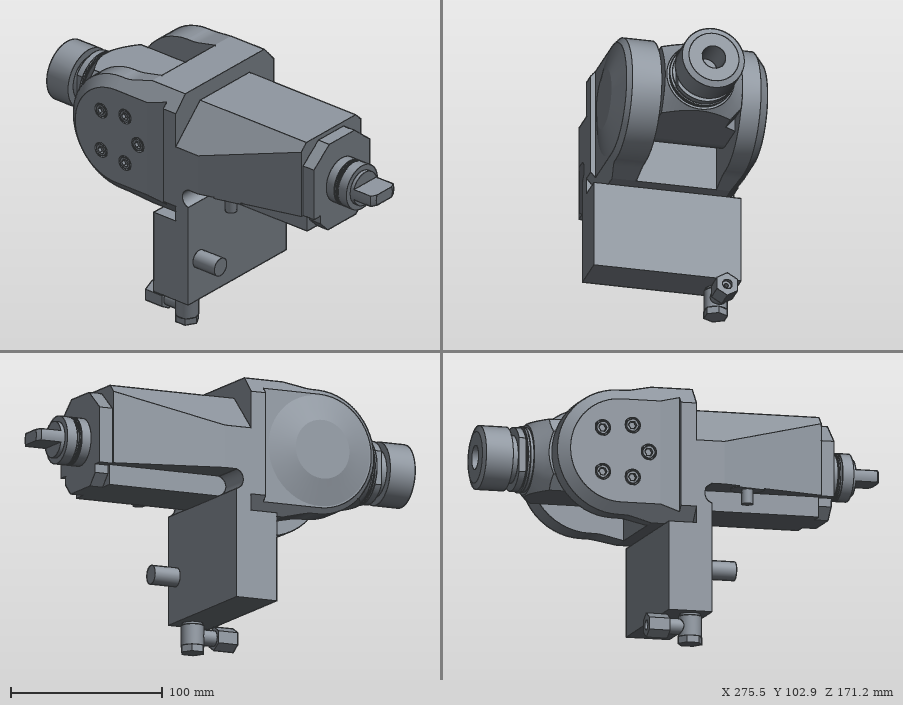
import cadquery as cq
import math


overall_length = 275.5
half_width = 50.5
pivot_x = 85.7

nose_radius = 21.2
nose_face_radius = 17.0
nose_chamfer = 1.7
nose_end = 20.0
neck_radius = 16.0
neck_end = 25.0
wrench_half_flat = 18.0
wrench_end = 29.8
washer_radius = 22.0
washer_start = 30.3
washer_end = 31.7
seat_groove_radius = 20.5
seat_start = 32.2
seat_radius = 21.5
nose_bore_radius = 8.0
nose_bore_depth = 22.0

block_front = 34.2
block_half_height = 24.0
block_y_min = -31.0
block_y_max = 24.0
block_cone_front_radius = 23.1
relief_inner_y = -23.1
relief_drop = 9.6
relief_end = 56.5
relief_runout = 5.0

fork_radius = 42.0
fork_half_height = 45.7
fork_end = 137.8
pocket_end = 109.5
shoulder_start = 88.7
shoulder_blend_end = 97.0
shoulder_blend_rise = 1.0
face_radius = 34.7
chamfer_width = 10.0
ramp_start = 113.0
ramp_end = 127.0
arm_recess = 3.3

dome_base_radius = 37.5
dome_top_radius = 19.8
dome_top_y = 52.4

screw_circle_radius = 19.3
screw_angles = (0, 65, 130, -130, -65)
screw_recess_radius = 5.2
screw_head_radius = 4.0
screw_socket_size = 5.5
screw_recess_depth = 2.8

housing_end = 229.5
housing_top = 34.7
housing_top_half_width = 25.4
housing_side_top = 10.0
housing_side_bottom = -18.7
taper_start = 157.0
housing_end_half_width = 30.5
keel_half_width = 24.5
keel_bottom = -32.2
slot_end_x = 143.5

flange_end = 239.0
flange_half_width = 28.7
flange_top = 31.5
flange_top_half_width = 13.0
flange_side_top = 18.5
flange_foot_half_width = 22.0
flange_foot_chamfer = 7.7

rear_radius = 16.0
rear_groove_radius = 15.2
rear_groove_start = 245.5
rear_groove_end = 248.8
rear_ring_start = 246.4
rear_ring_end = 247.5
rear_end = 256.3
tang_radius = 12.0
tang_start = 259.0
tang_half_thickness = 3.9
tang_tip_radius = 8.3
tang_tip_length = 2.0

slab_front = 118.8
slab_back = 148.5
slab_bottom = -105.3
slab_pin_radius = 6.3
slab_pin_length = 18.5
slab_pin_z = -75.0
pin_y = -39.0
stop_pin_radius = 3.9
stop_pin_x = 176.0
stop_pin_bottom = -29.2
stop_pad_radius = 11.3
stop_pad_thickness = 0.8

fitting_x = 137.0
fitting_y = -37.8
fitting_collar_radius = 7.0
fitting_collar_bottom = -107.0
fitting_radius = 7.7
fitting_hex_top = -120.7
fitting_bottom = -125.5
hex_size = 16.3
hose_z = -114.0
hose_radius = 5.2
nut_front = 107.0
nut_back = 121.3
nut_bore_radius = 3.3
nut_bore_depth = 2.8
hose_bore_radius = 1.5
hose_bore_depth = 11.0


def box(x_range, y_range, z_range):
    """Box between two limits on each axis."""
    size = [high - low for low, high in (x_range, y_range, z_range)]
    corner = (x_range[0], y_range[0], z_range[0])
    return cq.Workplane("XY").box(*size, centered=False).translate(corner)


def rod_x(radius, start, end, y=0.0, z=0.0):
    """Cylinder along X."""
    return cq.Workplane("YZ", origin=(start, y, z)).circle(radius).extrude(end - start)


def rod_z(radius, bottom, top, x, y):
    """Vertical cylinder."""
    return cq.Workplane("XY", origin=(x, y, bottom)).circle(radius).extrude(top - bottom)


def spindle_nose():
    nose = rod_x(nose_radius, nose_chamfer, nose_end)
    rim = (
        cq.Workplane("XY")
        .polyline([(0, 0), (0, nose_face_radius), (nose_chamfer, nose_radius), (nose_chamfer, 0)])
        .close()
        .revolve(360, (0, 0, 0), (1, 0, 0))
    )
    neck = rod_x(neck_radius, nose_end, neck_end)
    wrench_limits = box(
        (neck_end, wrench_end),
        (-wrench_half_flat, wrench_half_flat),
        (-nose_radius, nose_radius),
    )
    wrench = rod_x(nose_radius, neck_end, wrench_end).intersect(wrench_limits)
    groove = rod_x(seat_groove_radius, wrench_end, seat_start)
    washer = rod_x(washer_radius, washer_start, washer_end)
    seat = rod_x(seat_radius, seat_start, block_front)
    bore = rod_x(nose_bore_radius, 0, nose_bore_depth)
    for section in (rim, neck, wrench, groove, washer, seat):
        nose = nose.union(section)
    return nose.cut(bore)


def swivel_block():
    block = (
        cq.Workplane("XZ", origin=(0, block_y_max, 0))
        .moveTo(block_front, -block_half_height)
        .lineTo(pivot_x, -block_half_height)
        .threePointArc((pivot_x + block_half_height, 0), (pivot_x, block_half_height))
        .lineTo(block_front, block_half_height)
        .close()
        .extrude(block_y_max - block_y_min)
    )
    cone_end_radius = block_cone_front_radius + (pivot_x - block_front)
    cone = (
        cq.Workplane("XY")
        .polyline([
            (block_front, 0),
            (block_front, block_cone_front_radius),
            (pivot_x, cone_end_radius),
            (pivot_x + block_half_height, cone_end_radius),
            (pivot_x + block_half_height, 0),
        ])
        .close()
        .revolve(360, (0, 0, 0), (1, 0, 0))
    )
    block = block.intersect(cone)

    relief_plan = (
        cq.Workplane("XY", origin=(0, 0, -block_half_height))
        .polyline([
            (block_front, relief_inner_y),
            (relief_end, relief_inner_y),
            (relief_end + relief_runout, block_y_min),
            (block_front, block_y_min),
        ])
        .close()
        .extrude(2 * block_half_height)
    )
    for side in (1, -1):
        wedge = (
            cq.Workplane("YZ", origin=(block_front, 0, 0))
            .polyline([
                (relief_inner_y, side * block_half_height),
                (block_y_min, side * block_half_height),
                (block_y_min, side * (block_half_height - relief_drop)),
            ])
            .close()
            .extrude(relief_end + relief_runout - block_front)
        )
        block = block.cut(wedge.intersect(relief_plan))
    return block


def fork_blank():
    """Fork side outline extruded across the full width."""
    blend_z = fork_radius + shoulder_blend_rise
    blend_mid_x = (shoulder_start + shoulder_blend_end) / 2
    blend_mid_z = fork_radius + shoulder_blend_rise / 4
    return (
        cq.Workplane("XZ", origin=(0, half_width, 0))
        .moveTo(pivot_x, -fork_radius)
        .threePointArc((pivot_x - fork_radius, 0), (pivot_x, fork_radius))
        .lineTo(shoulder_start, fork_radius)
        .threePointArc((blend_mid_x, blend_mid_z), (shoulder_blend_end, blend_z))
        .lineTo(pocket_end, fork_half_height)
        .lineTo(fork_end, fork_half_height)
        .lineTo(fork_end, -fork_half_height)
        .lineTo(pocket_end, -fork_half_height)
        .lineTo(shoulder_blend_end, -blend_z)
        .threePointArc((blend_mid_x, -blend_mid_z), (shoulder_start, -fork_radius))
        .lineTo(pivot_x, -fork_radius)
        .close()
        .extrude(2 * half_width)
    )


def fork_envelope():
    """Chamfered limits: conical around the pivot, straight behind it."""
    crown_half_width = half_width - chamfer_width
    upper = [
        (half_width, face_radius),
        (crown_half_width, fork_half_height),
        (-crown_half_width, fork_half_height),
        (-half_width, face_radius),
    ]
    lower = [(y, -z) for y, z in reversed(upper)]
    straight = (
        cq.Workplane("YZ", origin=(pivot_x, 0, 0))
        .polyline(upper + lower)
        .close()
        .extrude(fork_end - pivot_x)
    )
    half_profile = [(0, half_width)] + [(z, y) for y, z in upper] + [(0, -half_width)]
    turned = (
        cq.Workplane("XY", origin=(pivot_x, 0, 0))
        .polyline(half_profile)
        .close()
        .revolve(360, (0, 0, 0), (0, 1, 0))
    )
    return straight.union(turned)


def fork():
    body = fork_blank().intersect(fork_envelope())
    arm_front = pivot_x - fork_radius
    full_height = (-fork_half_height, fork_half_height)
    body = body.cut(box((arm_front, pocket_end), (block_y_min, block_y_max), full_height))

    arm_face_y = half_width - arm_recess
    body = body.cut(box((arm_front, ramp_end), (arm_face_y, half_width), full_height))
    dome = (
        cq.Workplane("XY", origin=(pivot_x, 0, 0))
        .polyline([
            (0, block_y_max),
            (dome_top_radius, block_y_max),
            (dome_base_radius, arm_face_y),
            (dome_top_radius, dome_top_y),
            (0, dome_top_y),
        ])
        .close()
        .revolve(360, (0, 0, 0), (0, 1, 0))
    )
    body = body.union(dome)

    ramp = (
        cq.Workplane("XY", origin=(0, 0, -fork_half_height))
        .polyline([(ramp_start, -half_width), (ramp_end, -half_width), (ramp_end, -arm_face_y)])
        .close()
        .extrude(2 * fork_half_height)
    )
    return body.cut(ramp)


def screw_recesses():
    """Ring gap around each screw head plus its hexagon socket."""
    points = [
        (
            screw_circle_radius * math.cos(math.radians(angle)),
            screw_circle_radius * math.sin(math.radians(angle)),
        )
        for angle in screw_angles
    ]
    face = cq.Workplane("XZ", origin=(pivot_x, -half_width, 0)).pushPoints(points)
    gaps = face.circle(screw_recess_radius).circle(screw_head_radius).extrude(-screw_recess_depth)
    sockets = face.polygon(6, screw_socket_size).extrude(-screw_recess_depth)
    return gaps.union(sockets)


def housing_plan():
    """Tapered plan outline that limits the housing and the stop pin pad."""
    bottom = housing_side_bottom - stop_pad_thickness
    return (
        cq.Workplane("XY", origin=(0, 0, bottom))
        .polyline([
            (fork_end, -half_width),
            (taper_start, -half_width),
            (housing_end, -housing_end_half_width),
            (housing_end, housing_end_half_width),
            (taper_start, half_width),
            (fork_end, half_width),
        ])
        .close()
        .extrude(housing_top - bottom)
    )


def housing():
    section = (
        cq.Workplane("YZ", origin=(fork_end, 0, 0))
        .polyline([
            (-half_width, housing_side_bottom),
            (half_width, housing_side_bottom),
            (half_width, housing_side_top),
            (housing_top_half_width, housing_top),
            (-housing_top_half_width, housing_top),
            (-half_width, housing_side_top),
        ])
        .close()
        .extrude(housing_end - fork_end)
    )
    return section.intersect(housing_plan())


def keel():
    return box(
        (fork_end, housing_end),
        (-keel_half_width, keel_half_width),
        (keel_bottom, housing_side_bottom),
    )


def slab():
    lower = box(
        (slab_front, slab_back),
        (-half_width, half_width),
        (slab_bottom, -fork_half_height),
    )
    upper = box(
        (fork_end, slab_back),
        (-half_width, half_width),
        (-fork_half_height, housing_side_bottom),
    )
    slot_radius = (housing_side_bottom - keel_bottom) / 2
    root = (
        cq.Workplane("XZ", origin=(slot_end_x + slot_radius, half_width, keel_bottom + slot_radius))
        .circle(slot_radius)
        .extrude(2 * half_width)
    )
    return lower.union(upper.cut(root))


def flange():
    right_side = [
        (flange_foot_half_width - flange_foot_chamfer, keel_bottom),
        (flange_foot_half_width, keel_bottom + flange_foot_chamfer),
        (flange_foot_half_width, housing_side_bottom),
        (flange_half_width, housing_side_bottom),
        (flange_half_width, flange_side_top),
        (flange_top_half_width, flange_top),
    ]
    left_side = [(-y, z) for y, z in reversed(right_side)]
    return (
        cq.Workplane("YZ", origin=(housing_end, 0, 0))
        .polyline(right_side + left_side)
        .close()
        .extrude(flange_end - housing_end)
    )


def rear_spindle():
    collar = rod_x(rear_radius, flange_end, rear_groove_start)
    groove = rod_x(rear_groove_radius, rear_groove_start, rear_groove_end)
    ring = rod_x(rear_radius, rear_ring_start, rear_ring_end)
    drum = rod_x(rear_radius, rear_groove_end, rear_end)
    shank = (
        cq.Workplane("XY")
        .polyline([
            (rear_end, 0),
            (rear_end, tang_radius),
            (overall_length - tang_tip_length, tang_radius),
            (overall_length, tang_tip_radius),
            (overall_length, 0),
        ])
        .close()
        .revolve(360, (0, 0, 0), (1, 0, 0))
    )
    for side in (1, -1):
        flat = box(
            (tang_start, overall_length),
            (-tang_radius, tang_radius),
            sorted((side * tang_half_thickness, side * tang_radius)),
        )
        shank = shank.cut(flat)
    return collar.union(groove).union(ring).union(drum).union(shank)


def pins():
    slab_pin = rod_x(slab_pin_radius, slab_back, slab_back + slab_pin_length, pin_y, slab_pin_z)
    stop_pin = rod_z(stop_pin_radius, stop_pin_bottom, housing_side_bottom, stop_pin_x, pin_y)
    pad_bottom = housing_side_bottom - stop_pad_thickness
    pad = rod_z(stop_pad_radius, pad_bottom, housing_side_bottom, stop_pin_x, pin_y)
    return slab_pin.union(stop_pin).union(pad.intersect(housing_plan()))


def elbow_fitting():
    collar = rod_z(fitting_collar_radius, fitting_collar_bottom, slab_bottom, fitting_x, fitting_y)
    barrel = rod_z(fitting_radius, fitting_hex_top, fitting_collar_bottom, fitting_x, fitting_y)
    cap = (
        cq.Workplane("XY", origin=(fitting_x, fitting_y, fitting_bottom))
        .polygon(6, hex_size)
        .extrude(fitting_hex_top - fitting_bottom)
    )
    hose = rod_x(hose_radius, nut_back, fitting_x, fitting_y, hose_z)
    nut = (
        cq.Workplane("YZ", origin=(nut_front, fitting_y, hose_z))
        .transformed(rotate=(0, 0, 30))
        .polygon(6, hex_size)
        .extrude(nut_back - nut_front)
    )
    bore = rod_x(nut_bore_radius, nut_front, nut_front + nut_bore_depth, fitting_y, hose_z)
    pilot = rod_x(hose_bore_radius, nut_front, nut_front + hose_bore_depth, fitting_y, hose_z)
    return collar.union(barrel).union(cap).union(hose).union(nut.cut(bore).cut(pilot))


result = fork().union(swivel_block()).union(spindle_nose()).cut(screw_recesses())
for feature in (slab(), keel(), housing(), flange(), rear_spindle(), pins(), elbow_fitting()):
    result = result.union(feature)